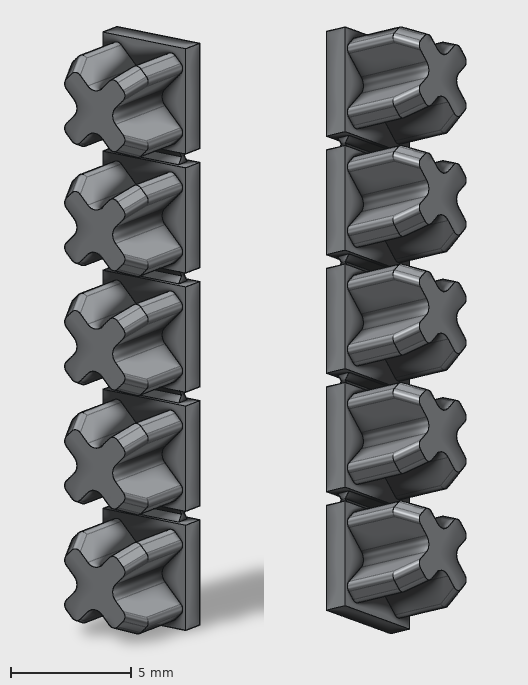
import cadquery as cq
import math

strip_length = 25.15
plate_width = 4.25
total_depth = 4.5
plug_count = 5

plate_height = 4.55
plate_thickness = 1.0
pitch = (strip_length - plate_height) / (plug_count - 1)

web_width = 3.25
web_gap = pitch - plate_height
web_root_thickness = 0.6
web_neck_thickness = 0.2

peg_length = total_depth - plate_thickness
arm_reach = 2.46
arm_half_width = 0.5
arm_edge_radius = 0.3
cross_root_radius = 0.5
tip_length = 1.05
tip_inset = 0.6
cross_angle = 45


def bar_section(reach):
    """Rounded rectangle across one whole bar of the cross."""
    return cq.Sketch().rect(2 * reach, 2 * arm_half_width).vertices().fillet(arm_edge_radius)


def make_bar(angle):
    """One bar of the cross: straight shank, then a tip that narrows along the bar only."""
    shank_length = peg_length - tip_length
    base_section = bar_section(arm_reach)
    end_section = bar_section(arm_reach - tip_inset).moved(cq.Location(cq.Vector(0, 0, tip_length)))
    shank = cq.Workplane("XZ").placeSketch(base_section).extrude(shank_length)
    tip = (
        cq.Workplane("XZ", origin=(0, -shank_length, 0))
        .placeSketch(base_section, end_section)
        .loft(ruled=True)
    )
    return shank.union(tip).rotate((0, 0, 0), (0, 1, 0), angle)


def make_peg():
    """Two crossed bars with filleted inner corners, root at Y = 0 and tip toward -Y."""
    cross = make_bar(cross_angle).union(make_bar(-cross_angle)).clean()
    box_reach = 1.1 * arm_half_width * math.sqrt(2)
    inner_corners = cq.selectors.BoxSelector(
        (-box_reach, -peg_length, -box_reach), (box_reach, 0, box_reach)
    )
    return cross.edges("|Y").edges(inner_corners).fillet(cross_root_radius)


def make_plate():
    """Base plate with its peg side on Y = 0."""
    return cq.Workplane("XY").box(
        plate_width, plate_thickness, plate_height, centered=(True, False, True)
    )


def make_web():
    """Thin web filling the gap between two plates, necked by a V notch on each face."""
    root = web_root_thickness / 2
    neck = web_neck_thickness / 2
    top = web_gap / 2
    return (
        cq.Workplane("YZ", origin=(0, plate_thickness / 2, 0))
        .polyline([(-root, top), (-neck, 0), (-root, -top), (root, -top), (neck, 0), (root, top)])
        .close()
        .extrude(web_width / 2, both=True)
    )


plug = make_plate().union(make_peg())
web = make_web()
first_plug_height = -(plug_count - 1) * pitch / 2

result = plug.translate((0, 0, first_plug_height))
for index in range(1, plug_count):
    height = first_plug_height + index * pitch
    result = result.union(web.translate((0, 0, height - pitch / 2)))
    result = result.union(plug.translate((0, 0, height)))